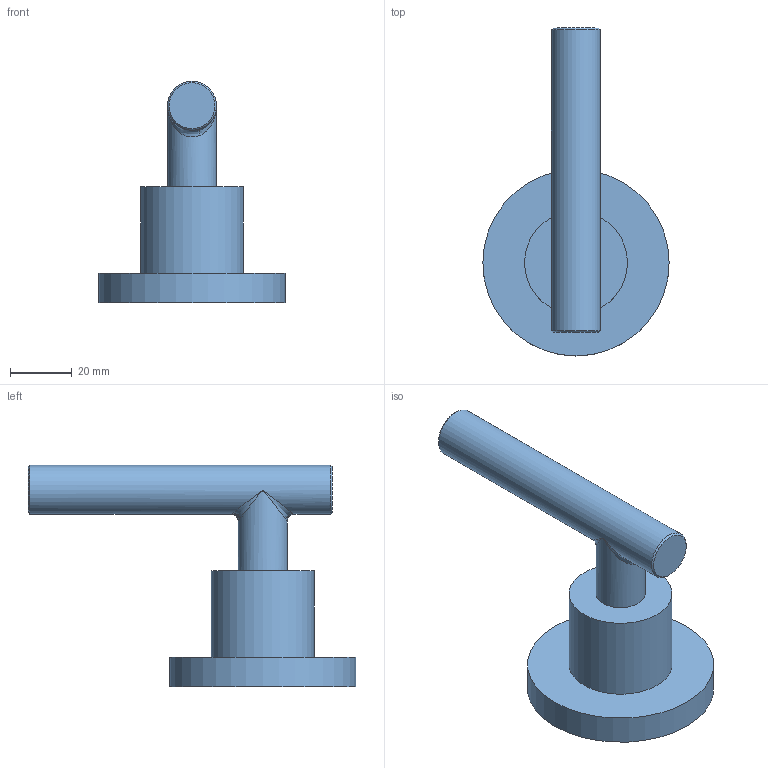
import cadquery as cq

flange_diameter = 60.325
flange_height = 9.525
hub_diameter = 33.338
hub_top = 37.6

bar_diameter = 15.875
overall_height = 71.77
bar_front = -22.6
bar_back = 75.92
bar_end_chamfer = 0.5

stem_radius_relief = 0.01
stem_fillet = 2.2

bar_radius = bar_diameter / 2
bar_axis_height = overall_height - bar_radius
stem_radius = bar_radius - stem_radius_relief


def make_base():
    """Round flange with the hub standing on it."""
    flange = cq.Workplane("XY").circle(flange_diameter / 2).extrude(flange_height)
    hub = cq.Workplane("XY").circle(hub_diameter / 2).extrude(hub_top)
    return flange.union(hub)


def make_bar():
    """Horizontal bar along Y with chamfered ends."""
    return (
        cq.Workplane("XZ", origin=(0, bar_front, bar_axis_height))
        .circle(bar_radius)
        .extrude(bar_front - bar_back)
        .faces("<Y or >Y")
        .chamfer(bar_end_chamfer)
    )


def make_lever():
    """Bar joined to its vertical stem, with a fillet around the joint."""
    stem = (
        cq.Workplane("XY", origin=(0, 0, hub_top))
        .circle(stem_radius)
        .extrude(bar_axis_height - hub_top)
    )
    joint_zone = cq.selectors.BoxSelector(
        (-bar_radius, -bar_radius, bar_axis_height - bar_radius),
        (bar_radius, bar_radius, bar_axis_height),
    )
    return stem.union(make_bar()).edges(joint_zone).fillet(stem_fillet)


result = make_base().union(make_lever())